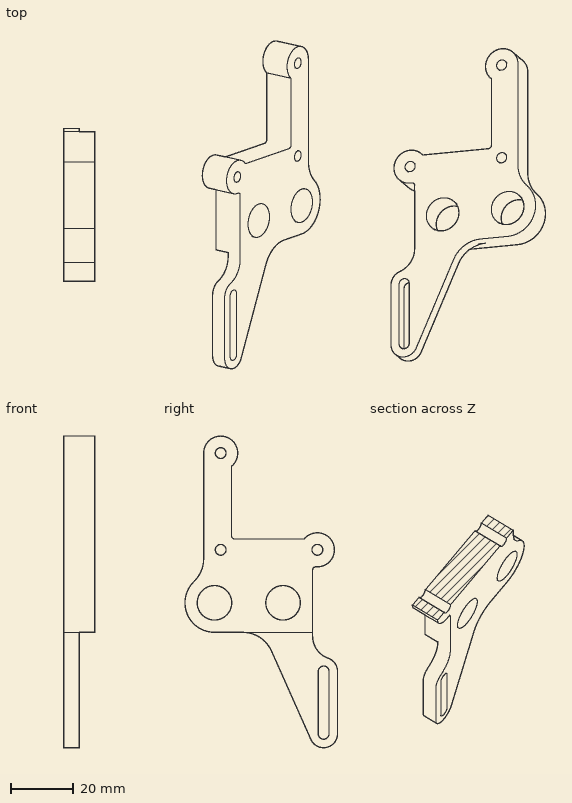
import cadquery as cq
import math

plate_thickness = 10.0
arm_thickness = 5.0

bore_diameter = 11.0
bore_spacing = 22.0
boss_radius = bore_diameter / 2 + 4.0
plate_bottom = -boss_radius
plate_back = bore_spacing + boss_radius

screw_diameter = 3.4
screw_spacing = 31.0
screw_front = 2.0
screw_low = 17.0
screw_back = screw_front + screw_spacing
screw_high = screw_low + screw_spacing
ear_radius = 5.5
inner_edge_offset = 3.5
column_front = screw_front - ear_radius
column_back = screw_front + inner_edge_offset
plate_top = screw_low + inner_edge_offset

slot_y = 35.0
slot_low = -42.0
slot_travel = 20.0
slot_high = slot_low + slot_travel
arm_radius = 4.5
arm_corner_y = 15.6

large_blend = 10.0
arm_back_blend = 7.5
small_blend = 1.0


def prism(points):
    return cq.Workplane("YZ").polyline(points).close().extrude(plate_thickness)


def cylinder(y, z, radius):
    return cq.Workplane("YZ").center(y, z).circle(radius).extrude(plate_thickness)


def half_chord(radius, offset):
    """Half length of the chord at a given distance from a circle's centre."""
    return math.sqrt(radius**2 - offset**2)


def sloped_edge_contact():
    """Point where a line from the plate's bottom corner touches the arm's lower end."""
    dy = arm_corner_y - slot_y
    dz = plate_bottom - slot_low
    direction = math.atan2(dz, dy) + math.acos(arm_radius / math.hypot(dy, dz))
    return slot_y + arm_radius * math.cos(direction), slot_low + arm_radius * math.sin(direction)


def make_body():
    plate = prism([
        (0, plate_bottom),
        (plate_back, plate_bottom),
        (plate_back, screw_low),
        (screw_back, screw_low),
        (screw_back, plate_top),
        (column_back, plate_top),
        (column_back, screw_high),
        (column_front, screw_high),
        (column_front, 0),
        (0, 0),
    ])
    arm = prism([
        (arm_corner_y, plate_bottom),
        sloped_edge_contact(),
        (slot_y, slot_low),
        (slot_y + arm_radius, slot_low),
        (slot_y + arm_radius, slot_high),
        (slot_y, slot_high),
        (plate_back, slot_high),
        (plate_back, plate_bottom),
    ])
    body = plate.union(arm).union(cylinder(0, 0, boss_radius))
    for y, z in [(screw_front, screw_high), (screw_back, screw_low)]:
        body = body.union(cylinder(y, z, ear_radius))
    for z in (slot_low, slot_high):
        body = body.union(cylinder(slot_y, z, arm_radius))
    return body.clean()


def blend_corners(body):
    """Round the concave corners of the outline."""
    corners = [
        (column_front, half_chord(boss_radius, column_front), large_blend),
        (arm_corner_y, plate_bottom, large_blend),
        (plate_back, slot_high + half_chord(arm_radius, slot_y - plate_back), arm_back_blend),
        (plate_back, screw_low - half_chord(ear_radius, screw_back - plate_back), small_blend),
        (column_back, plate_top, small_blend),
    ]
    for y, z, radius in corners:
        corner = cq.selectors.NearestToPointSelector((plate_thickness / 2, y, z))
        body = body.edges("|X").edges(corner).fillet(radius)
    return body


def thin_arm(body):
    """Remove the +X half of everything below the plate's bottom edge."""
    depth = plate_bottom - slot_low + arm_radius
    relief = (
        cq.Workplane("XY")
        .box(plate_thickness - arm_thickness, 2 * (slot_y + arm_radius), depth, centered=(False, True, False))
        .translate((arm_thickness, 0, plate_bottom - depth))
    )
    return body.cut(relief)


def cut_openings(body):
    for y in (0, bore_spacing):
        body = body.cut(cylinder(y, 0, bore_diameter / 2))
    for y, z in [(screw_front, screw_low), (screw_front, screw_high), (screw_back, screw_low)]:
        body = body.cut(cylinder(y, z, screw_diameter / 2))
    slot = (
        cq.Workplane("YZ")
        .center(slot_y, (slot_low + slot_high) / 2)
        .slot2D(slot_travel + screw_diameter, screw_diameter, 90)
        .extrude(plate_thickness)
    )
    return body.cut(slot)


result = cut_openings(thin_arm(blend_corners(make_body())))